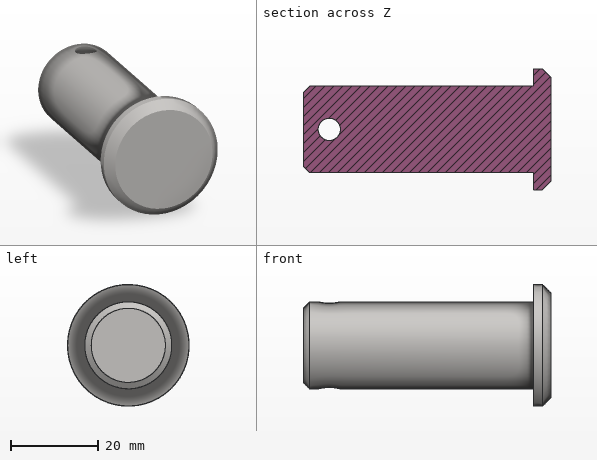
import cadquery as cq

total_length = 57.0
shank_diameter = 20.0
head_diameter = 28.0
head_thickness = 4.1
head_chamfer = 2.05
tip_chamfer = 1.5
hole_diameter = 5.0
hole_from_tip = 6.0

tip_x = -total_length / 2
head_x = total_length / 2 - head_thickness


def make_shank():
    """Cylindrical shank with a chamfered tip."""
    shank_length = total_length - head_thickness
    shank = cq.Workplane("YZ", origin=(tip_x, 0, 0)).circle(shank_diameter / 2).extrude(shank_length)
    return shank.faces("<X").chamfer(tip_chamfer)


def make_head():
    """Round head with a chamfered outer end."""
    head = cq.Workplane("YZ", origin=(head_x, 0, 0)).circle(head_diameter / 2).extrude(head_thickness)
    return head.faces(">X").chamfer(head_chamfer)


def make_cross_hole():
    """Cutter for the split-pin hole, passing through the shank along Z."""
    hole_x = tip_x + hole_from_tip
    hole = cq.Workplane("XY", origin=(hole_x, 0, 0)).circle(hole_diameter / 2)
    return hole.extrude(shank_diameter, both=True)


result = make_shank().union(make_head()).cut(make_cross_hole())